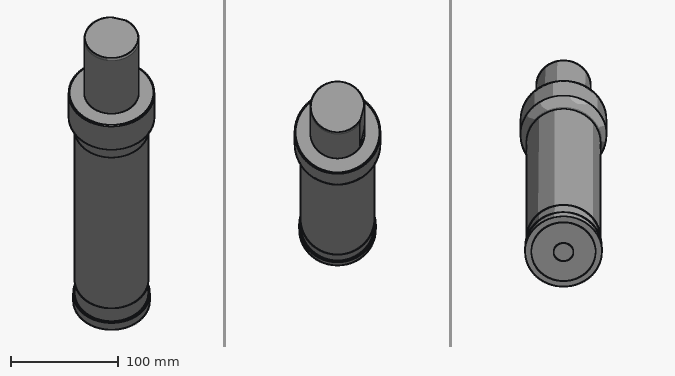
import cadquery as cq

total_height = 382.0

rod_diameter = 50.8
rod_chamfer_height = 2.5
rod_chamfer_width = 0.8

flat_offset = 23.5
flat_runout_height = 3.5

collar_diameter = 80.0
collar_top = 302.0
collar_bottom = 267.5
collar_chamfer = 1.0

neck_diameter = 70.3
neck_bottom = 251.5
neck_chamfer_height = 2.0
neck_sag = 0.8

tube_diameter = 68.8
lower_tube_diameter = 68.0
lower_tube_top = 31.0

foot_diameter = 71.5
foot_top = 12.2
foot_chamfer = 0.8
base_diameter = 59.5
base_step = 0.8
pad_diameter = 18.5
pad_height = 0.8

collar_radius = collar_diameter / 2
neck_radius = neck_diameter / 2
tube_radius = tube_diameter / 2
lower_tube_radius = lower_tube_diameter / 2
foot_radius = foot_diameter / 2
base_radius = base_diameter / 2
pad_radius = pad_diameter / 2
rod_radius = rod_diameter / 2


def make_housing():
    """Solid of revolution whose flat top carries the rod."""
    neck_middle = (
        (collar_radius + neck_radius) / 2 - neck_sag,
        (collar_bottom + neck_bottom) / 2,
    )
    return (
        cq.Workplane("XZ")
        .moveTo(0, 0)
        .lineTo(pad_radius, 0)
        .lineTo(pad_radius, pad_height)
        .lineTo(base_radius, pad_height)
        .lineTo(base_radius, pad_height + base_step)
        .lineTo(foot_radius, pad_height + base_step)
        .lineTo(foot_radius, foot_top - foot_chamfer)
        .lineTo(foot_radius - foot_chamfer, foot_top)
        .lineTo(lower_tube_radius, foot_top)
        .lineTo(lower_tube_radius, lower_tube_top)
        .lineTo(tube_radius, lower_tube_top)
        .lineTo(tube_radius, neck_bottom - neck_chamfer_height)
        .lineTo(neck_radius, neck_bottom)
        .threePointArc(neck_middle, (collar_radius, collar_bottom))
        .lineTo(collar_radius, collar_top - collar_chamfer)
        .lineTo(collar_radius - collar_chamfer, collar_top)
        .lineTo(0, collar_top)
        .close()
        .revolve(360, (0, 0, 0), (0, 1, 0))
    )


def make_rod():
    """Round rod with a steep chamfer around its free end and a flat on one side."""
    shaft = (
        cq.Workplane("XZ")
        .moveTo(0, collar_top)
        .lineTo(rod_radius, collar_top)
        .lineTo(rod_radius, total_height - rod_chamfer_height)
        .lineTo(rod_radius - rod_chamfer_width, total_height)
        .lineTo(0, total_height)
        .close()
        .revolve(360, (0, 0, 0), (0, 1, 0))
    )
    return shaft.cut(make_flat_cutter())


def make_flat_cutter():
    """Prism beyond the flat, with a lower end that rises toward the rod axis."""
    runout_bottom = collar_top + flat_runout_height
    runout_top = runout_bottom + rod_radius - flat_offset
    return (
        cq.Workplane("YZ")
        .moveTo(flat_offset, runout_top)
        .lineTo(rod_radius, runout_bottom)
        .lineTo(rod_radius, total_height)
        .lineTo(flat_offset, total_height)
        .close()
        .extrude(rod_radius, both=True)
    )


housing = make_housing()
rod = make_rod()

result = cq.Compound.makeCompound([housing.val(), rod.val()])